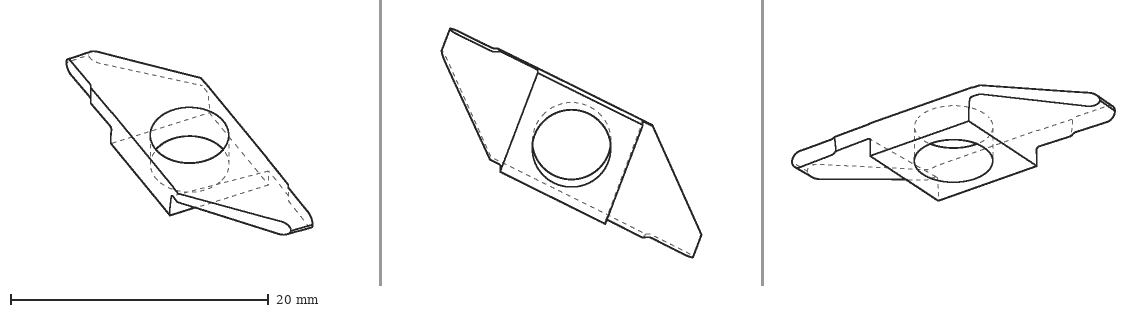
import cadquery as cq
import math

overall_length = 25.0
height = 3.18
foot_height = 0.88
top_half_width = 3.95
draft_angle = 5.0
flank_angle = 39.5
corner_x = 5.02
hole_diameter = 6.1

skew = 0.11
block_end_x = -4.58
crest_x = -4.68
break_length = 0.22
land_length = 1.58
break_z = 3.12
land_z = 3.02
root_z = 1.98
tip_drop = 0.2
underside_tilt = 0.07
root_radius = 0.25
arc_middle = 1 - math.sqrt(0.5)
profile_y = 5.0

relief_y = -3.8
tip_x = -overall_length / 2 - skew * relief_y
relief_start_x = -8.88
relief_blend_x = -8.55
relief_blend_y = -3.9
relief_angle = 30.0
relief_outer_y = -4.5
relief_outer_x = -13.75


def half_turn(shape):
    return shape.rotate((0, 0, 0), (0, 0, 1), 180)


def make_plate():
    far_x = corner_x + 2 * top_half_width / math.tan(math.radians(flank_angle))
    outline = [
        (-corner_x, top_half_width),
        (-far_x, -top_half_width),
        (corner_x, -top_half_width),
        (far_x, top_half_width),
    ]
    drafted = (
        cq.Workplane("XY", origin=(0, 0, height))
        .polyline(outline).close()
        .extrude(-(height - foot_height), taper=-draft_angle)
    )
    foot = drafted.faces("<Z").wires().toPending().extrude(-foot_height)
    return drafted.union(foot)


def half_profile(y):
    """Closed XZ section of the -X half at the given Y."""
    shift = skew * y
    end = block_end_x + shift
    tip = tip_x + shift
    crest = crest_x + shift
    root = root_z + underside_tilt * y
    nose_bottom = root - tip_drop
    nose_radius = (land_z - nose_bottom) / 2
    nose_mid = land_z - nose_radius
    nose_inset = nose_radius * arc_middle
    arc_inset = root_radius * arc_middle
    return (
        cq.Workplane("XZ", origin=(0, y, 0))
        .moveTo(0, 0)
        .lineTo(0, height)
        .lineTo(crest, height)
        .lineTo(crest - break_length, break_z)
        .lineTo(tip + land_length, land_z)
        .lineTo(tip + nose_radius, land_z)
        .threePointArc((tip + nose_inset, land_z - nose_inset), (tip, nose_mid))
        .threePointArc((tip + nose_inset, nose_bottom + nose_inset), (tip + nose_radius, nose_bottom))
        .lineTo(end - root_radius, root)
        .threePointArc((end - arc_inset, root - arc_inset), (end, root - root_radius))
        .lineTo(end, 0)
        .close()
        .val()
    )


def make_side_shape():
    sections = [half_profile(-profile_y), half_profile(profile_y)]
    half = cq.Workplane(cq.Solid.makeLoft(sections, True))
    return half.union(half_turn(half))


def make_tip_relief():
    run = (relief_blend_y - relief_outer_y) / math.tan(math.radians(relief_angle))
    return (
        cq.Workplane("XY")
        .moveTo(relief_outer_x, relief_outer_y)
        .lineTo(relief_outer_x, relief_y)
        .lineTo(relief_start_x, relief_y)
        .tangentArcPoint((relief_blend_x, relief_blend_y), relative=False)
        .lineTo(relief_blend_x + run, relief_outer_y)
        .close()
        .extrude(height)
    )


relief = make_tip_relief()
hole = cq.Workplane("XY").circle(hole_diameter / 2).extrude(height)

result = make_plate().intersect(make_side_shape())
result = result.cut(relief).cut(half_turn(relief)).cut(hole).clean()